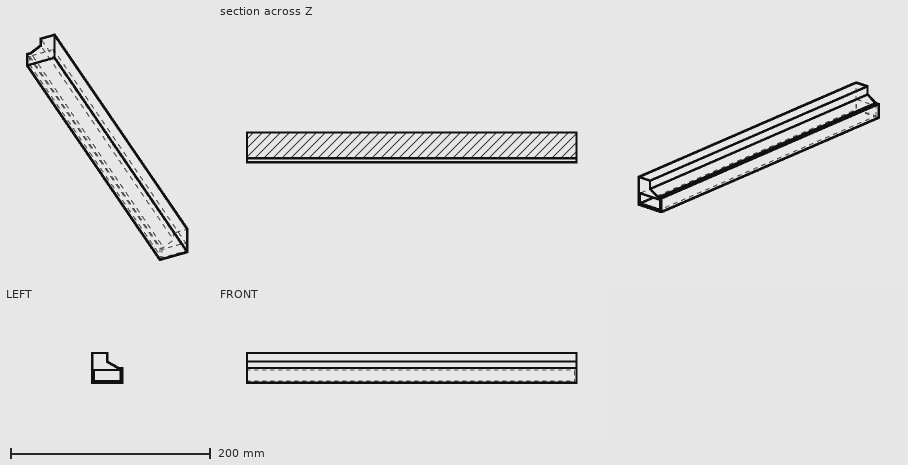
import cadquery as cq

length = 330.0
width = 30.0
height = 30.0

block_depth = 15.2
ledge_height = 15.0
ledge_depth = 4.0
slope_top_height = 21.0

wall = 2.0
cavity_length = length - wall
cavity_width = width - 2 * wall
cavity_height = ledge_height - 2 * wall


def make_bar():
    """Extrude the stepped section along X, front face at Y = 0."""
    block_front = width - block_depth
    section = [
        (0, 0),
        (width, 0),
        (width, height),
        (block_front, height),
        (block_front, slope_top_height),
        (ledge_depth, ledge_height),
        (0, ledge_height),
    ]
    return cq.Workplane("YZ").polyline(section).close().extrude(length)


def make_cavity():
    """Blind rectangular hollow in the lower part of the bar."""
    cavity = cq.Workplane("XY").box(cavity_length, cavity_width, cavity_height, centered=False)
    return cavity.translate((0, wall, wall))


bar = make_bar().cut(make_cavity())
result = bar.translate((-length / 2, -width / 2, -height / 2))